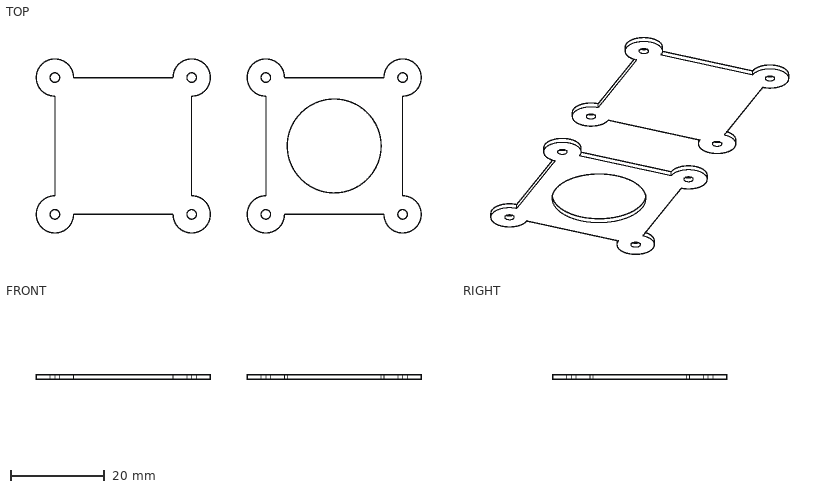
import cadquery as cq

thickness = 1.0
hole_spacing = 29.19
ear_diameter = 8.0
screw_hole_diameter = 2.0
window_diameter = 20.0
plate_pitch = 45.0


def eared_plate():
    """Square plate with a round, drilled ear centred on each corner."""
    square = cq.Workplane("XY").rect(hole_spacing, hole_spacing).extrude(thickness)
    corners = cq.Workplane("XY").rect(hole_spacing, hole_spacing, forConstruction=True).vertices()
    ears = corners.circle(ear_diameter / 2).extrude(thickness)
    screw_holes = corners.circle(screw_hole_diameter / 2).extrude(thickness)
    return square.union(ears).cut(screw_holes)


def window_plate():
    """Eared plate with a large round opening through its centre."""
    window = cq.Workplane("XY").circle(window_diameter / 2).extrude(thickness)
    return eared_plate().cut(window)


cover_plate = eared_plate()
opening_plate = window_plate().translate((plate_pitch, 0, 0))

result = cq.Compound.makeCompound([cover_plate.val(), opening_plate.val()])